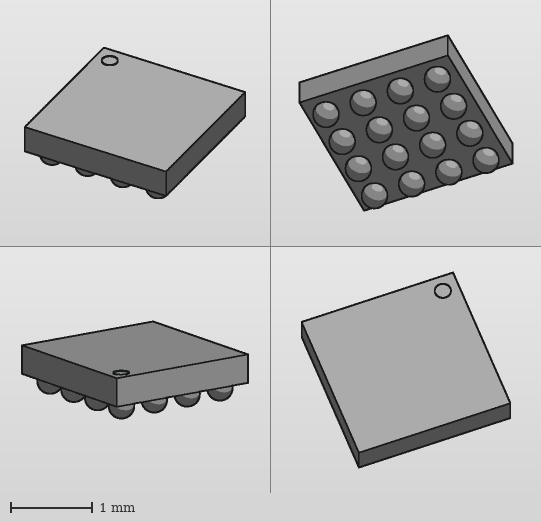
import cadquery as cq

body_side = 2.0
total_height = 0.6
body_thickness = 0.365

ball_diameter = 0.32
ball_pitch = 0.5
balls_per_side = 4

mark_diameter = 0.2
mark_depth = 0.01
mark_x = -0.8
mark_y = 0.79

body_bottom = total_height - body_thickness
ball_radius = ball_diameter / 2


def make_body():
    return (
        cq.Workplane("XY", origin=(0, 0, body_bottom))
        .rect(body_side, body_side)
        .extrude(body_thickness)
    )


def make_balls():
    return (
        cq.Workplane("XY", origin=(0, 0, ball_radius))
        .rarray(ball_pitch, ball_pitch, balls_per_side, balls_per_side)
        .sphere(ball_radius)
    )


def make_mark():
    return (
        cq.Workplane("XY", origin=(mark_x, mark_y, total_height))
        .circle(mark_diameter / 2)
        .extrude(-mark_depth)
    )


result = make_body().union(make_balls()).cut(make_mark())